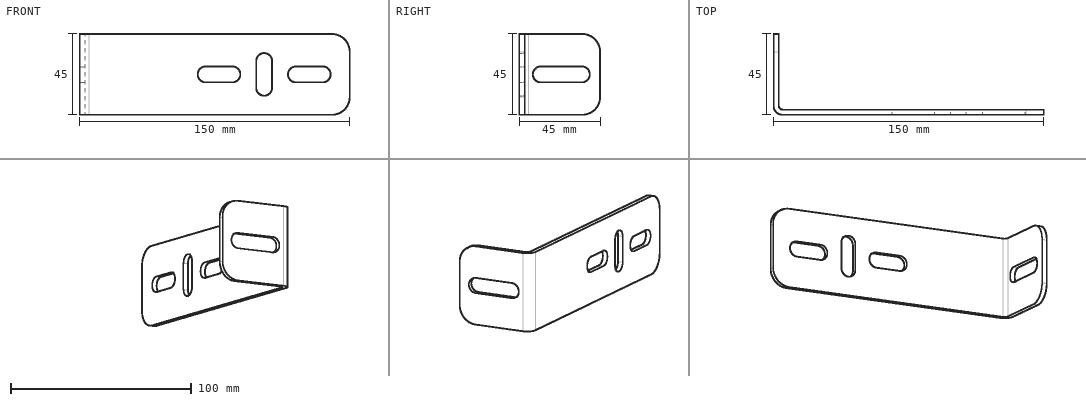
import cadquery as cq

length = 150.0
flange_depth = 45.0
height = 45.0
thickness = 3.0

bend_outer_radius = 5.1
bend_inner_radius = bend_outer_radius - thickness
corner_radius = 10.0

slot_width = 8.7
long_leg_slot_length = 23.5
flange_slot_length = 31.5
slot_spacing = 25.0
upright_slot_x = 102.5
flange_slot_y = 23.4
mid_height = height / 2


def bent_sheet():
    """L-shaped sheet with a rounded bend, standing along Z."""
    return (
        cq.Workplane("XY")
        .polyline([
            (0, 0),
            (length, 0),
            (length, thickness),
            (thickness, thickness),
            (thickness, flange_depth),
            (0, flange_depth),
        ])
        .close()
        .extrude(height)
        .edges(cq.selectors.NearestToPointSelector((0, 0, mid_height)))
        .fillet(bend_outer_radius)
        .edges(cq.selectors.NearestToPointSelector((thickness, thickness, mid_height)))
        .fillet(bend_inner_radius)
    )


def round_free_corners(sheet):
    """Round the two corners at the free end of each leg."""
    return (
        sheet
        .faces(">X").edges("|Y").fillet(corner_radius)
        .faces(">Y").edges("|X").fillet(corner_radius)
    )


def long_leg_slot(x, angle):
    """Cutter through the long leg; an angle of 0 lies along X, 90 along Z."""
    return (
        cq.Workplane("XZ")
        .center(x, mid_height)
        .slot2D(long_leg_slot_length, slot_width, angle)
        .extrude(-thickness)
    )


def flange_slot():
    """Cutter through the short flange, lying along Y."""
    return (
        cq.Workplane("YZ")
        .center(flange_slot_y, mid_height)
        .slot2D(flange_slot_length, slot_width)
        .extrude(thickness)
    )


result = round_free_corners(bent_sheet())
for offset, angle in [(-slot_spacing, 0), (0, 90), (slot_spacing, 0)]:
    result = result.cut(long_leg_slot(upright_slot_x + offset, angle))
result = result.cut(flange_slot())